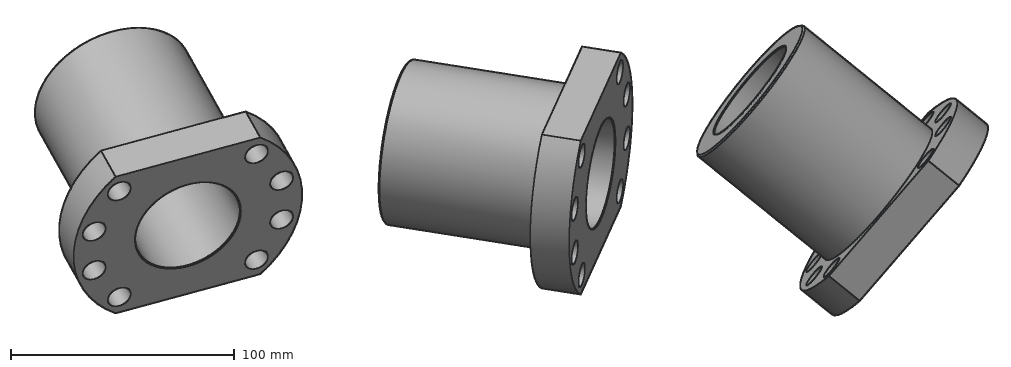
import cadquery as cq
import math

total_length = 93.0
flange_diameter = 109.6
flange_height = 85.0
flange_thickness = 18.0

sleeve_diameter = 75.0
sleeve_length = total_length - flange_thickness
bore_diameter = 50.0
sleeve_chamfer = 0.8
bore_chamfer = 0.4

hole_diameter = 11.0
bolt_circle_diameter = 93.0
hole_angles = [side + offset for side in (0, 180) for offset in (-45, -15, 15, 45)]


def make_flange():
    """Round flange with flats at the top and bottom."""
    flange_face = cq.Workplane("YZ", origin=(sleeve_length, 0, 0))
    disc = flange_face.circle(flange_diameter / 2).extrude(flange_thickness)
    flats = cq.Workplane("YZ").rect(flange_diameter, flange_height).extrude(total_length)
    return disc.intersect(flats)


def make_sleeve():
    """Cylinder along X with a chamfered free end."""
    sleeve = cq.Workplane("YZ").circle(sleeve_diameter / 2).extrude(sleeve_length)
    return sleeve.faces("<X").chamfer(sleeve_chamfer)


def make_bolt_holes():
    """Cutters for the plain holes through the flange."""
    points = [
        (
            bolt_circle_diameter / 2 * math.cos(math.radians(angle)),
            bolt_circle_diameter / 2 * math.sin(math.radians(angle)),
        )
        for angle in hole_angles
    ]
    flange_face = cq.Workplane("YZ", origin=(sleeve_length, 0, 0))
    return flange_face.pushPoints(points).circle(hole_diameter / 2).extrude(flange_thickness)


def make_bore():
    """Cutter for the through bore, widened by a chamfer at both ends."""
    bore_radius = bore_diameter / 2
    mouth_radius = bore_radius + bore_chamfer
    return (
        cq.Workplane("XY")
        .moveTo(0, 0)
        .lineTo(0, mouth_radius)
        .lineTo(bore_chamfer, bore_radius)
        .lineTo(total_length - bore_chamfer, bore_radius)
        .lineTo(total_length, mouth_radius)
        .lineTo(total_length, 0)
        .close()
        .revolve(360, (0, 0, 0), (1, 0, 0))
    )


result = make_flange().union(make_sleeve()).cut(make_bolt_holes()).cut(make_bore())